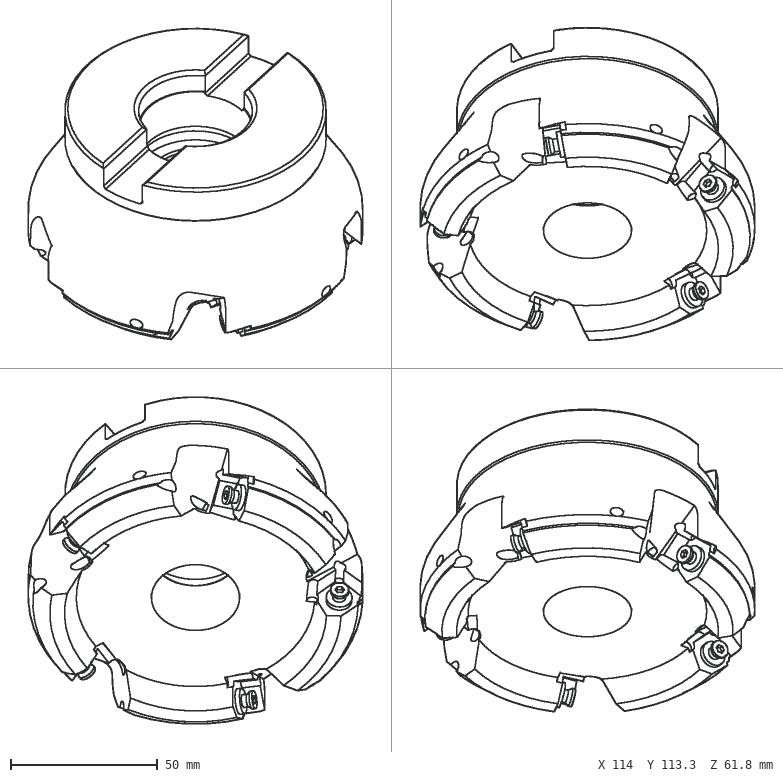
import cadquery as cq
import math

TOOTH_COUNT = 5
FIRST_TOOTH_ANGLE = 36.0
TOOTH_PITCH = 360.0 / TOOTH_COUNT

HEIGHT = 61.75
BODY_RADIUS = 57.0
HUB_RADIUS = 44.5
HUB_CHAMFER = 1.0
HUB_BOTTOM_Z = 48.3
HUB_EDGE_RELIEF = 0.6

CONE_ANGLE = math.radians(30)
BLEND_RADIUS = 10.0
CYLINDER_TOP_Z = 17.7
NECK_RADIUS = 43.8

CYLINDER_BOTTOM_Z = 8.7
RIM_STEP_RADIUS = 55.7
RIM_STEP_Z = 7.1
RIM_GROOVE_DEPTH = 0.3
RIM_GROOVE_TOP_Z = 6.4
RIM_CHAMFER_TOP_Z = 5.4
RIM_CHAMFER_RADIUS = 55.4
RIM_RADIUS = 49.6

HOLLOW_MOUTH_RADIUS = 44.6
HOLLOW_TOP_RADIUS = 40.6
HOLLOW_DEPTH = 8.0

BORE_RADIUS = 19.05
BORE_RELIEF_RADIUS = 19.35
BORE_RELIEF_DEPTH = 8.0
BORE_MOUTH_RADIUS = 20.9
BORE_CHAMFER_DEPTH = 1.2
BORE_DEPTH = 23.1
UNDERCUT_RADIUS = 20.25
UNDERCUT_TAPER_HEIGHT = 3.0
LEDGE_DEPTH = 30.0
THROUGH_RADIUS = 15.0
THROUGH_CHAMFER = 0.8

SLOT_WIDTH = 16.0
SLOT_DEPTH = 9.5
SLOT_TOP_CHAMFER = 1.1
SLOT_FLOOR_CHAMFER = 0.9

ROOT_LOW = cq.Vector(38.1, -15.5, 7.0)
ROOT_CREASE = cq.Vector(42.7, -18.4, 12.2)
ROOT_HIGH = cq.Vector(49.8, -24.6, 21.6)
OUTER_LOW = cq.Vector(43.2, -24.2, 0.0)
OUTER_HIGH = cq.Vector(50.3, -26.8, 8.8)
GULLET_FILLET = 4.8
GULLET_BEND = math.radians(76)
GULLET_REACH = 45.0
GULLET_DROP = 20.0
TOOTH_WALL_Y = -9.2

INSERT_SIDE = 12.7
INSERT_RADIUS = 48.8
INSERT_Z = 7.0
SEAT_Y = -2.0
AXIAL_RAKE = 7.0
POCKET_HEIGHT = 14.0
POCKET_RISE = 0.8
CORNER_RELIEF_RADIUS = 2.0
CORNER_RELIEF_DEPTH = 2.0

SCREW_SHANK_RADIUS = 2.2
SCREW_SHANK_LENGTH = 10.0
SCREW_COLLAR_RADIUS = 4.4
SCREW_COLLAR_HEIGHT = 1.6
SCREW_HEAD_RADIUS = 3.1
SCREW_HEAD_BOTTOM = 3.3
SCREW_HEAD_EDGE = 4.6
SCREW_HEAD_TOP = 5.6
SCREW_SOCKET_WIDTH = 3.0
SCREW_SOCKET_DEPTH = 1.5

COOLANT_RADIUS = 1.8
COOLANT_ENTRY = cq.Vector(43.4, -36.9, 10.4)
COOLANT_DIRECTION = cq.Vector(-0.22, 0.975, 0)
COOLANT_LENGTH = 27.0
COOLANT_LEAD = 5.0
RIM_HOLE_RADIUS = 1.9
RIM_HOLE_START = cq.Vector(47.4, -20.0, 5.0)
RIM_HOLE_DIRECTION = cq.Vector(0, -1, 0)
RIM_HOLE_LENGTH = 20.0

TOOTH_ANGLES = [FIRST_TOOTH_ANGLE + TOOTH_PITCH * i for i in range(TOOTH_COUNT)]


def turn(shape, angle):
    return shape.rotate((0, 0, 0), (0, 0, 1), angle)


def make_blank():
    """Turned outer shape, solid down the middle."""
    drop = BLEND_RADIUS * math.sin(CONE_ANGLE)
    set_back = BLEND_RADIUS * (1 - math.cos(CONE_ANGLE))
    half_drop = BLEND_RADIUS * math.sin(CONE_ANGLE / 2)
    half_set_back = BLEND_RADIUS * (1 - math.cos(CONE_ANGLE / 2))
    cone_low = (BODY_RADIUS - set_back, CYLINDER_TOP_Z + drop)
    cone_high_radius = NECK_RADIUS + set_back
    cone_high_z = cone_low[1] + (cone_low[0] - cone_high_radius) / math.tan(CONE_ANGLE)
    neck_z = cone_high_z + drop
    neck_end_z = HUB_BOTTOM_Z - HUB_EDGE_RELIEF
    neck_rise = neck_end_z - neck_z
    neck_end_radius = NECK_RADIUS + BLEND_RADIUS - math.sqrt(BLEND_RADIUS**2 - neck_rise**2)
    groove_radius = RIM_CHAMFER_RADIUS - RIM_GROOVE_DEPTH
    return (
        cq.Workplane("XZ")
        .moveTo(0, 0)
        .lineTo(RIM_RADIUS, 0)
        .lineTo(RIM_CHAMFER_RADIUS, RIM_CHAMFER_TOP_Z)
        .lineTo(groove_radius, RIM_GROOVE_TOP_Z)
        .lineTo(RIM_STEP_RADIUS, RIM_STEP_Z)
        .lineTo(BODY_RADIUS, CYLINDER_BOTTOM_Z)
        .lineTo(BODY_RADIUS, CYLINDER_TOP_Z)
        .threePointArc((BODY_RADIUS - half_set_back, CYLINDER_TOP_Z + half_drop), cone_low)
        .lineTo(cone_high_radius, cone_high_z)
        .threePointArc((NECK_RADIUS + half_set_back, neck_z - half_drop), (NECK_RADIUS, neck_z))
        .radiusArc((neck_end_radius, neck_end_z), BLEND_RADIUS)
        .lineTo(HUB_RADIUS, HUB_BOTTOM_Z)
        .lineTo(HUB_RADIUS, HEIGHT - HUB_CHAMFER)
        .lineTo(HUB_RADIUS - HUB_CHAMFER, HEIGHT)
        .lineTo(0, HEIGHT)
        .close()
        .revolve(360, (0, 0, 0), (0, 1, 0))
    )


def make_bore():
    """Arbor bore with a relieved mouth, an undercut above a ledge, and the hollow in the bottom face."""
    ledge_z = HEIGHT - LEDGE_DEPTH
    undercut_z = HEIGHT - BORE_DEPTH
    relief_z = HEIGHT - BORE_RELIEF_DEPTH
    return (
        cq.Workplane("XZ")
        .moveTo(0, 0)
        .lineTo(HOLLOW_MOUTH_RADIUS, 0)
        .lineTo(HOLLOW_TOP_RADIUS, HOLLOW_DEPTH)
        .lineTo(THROUGH_RADIUS, HOLLOW_DEPTH)
        .lineTo(THROUGH_RADIUS, ledge_z - THROUGH_CHAMFER)
        .lineTo(THROUGH_RADIUS + THROUGH_CHAMFER, ledge_z)
        .lineTo(UNDERCUT_RADIUS, ledge_z)
        .lineTo(UNDERCUT_RADIUS, undercut_z - UNDERCUT_TAPER_HEIGHT)
        .lineTo(BORE_RADIUS, undercut_z)
        .lineTo(BORE_RADIUS, relief_z)
        .lineTo(BORE_RELIEF_RADIUS, relief_z)
        .lineTo(BORE_RELIEF_RADIUS, HEIGHT - BORE_CHAMFER_DEPTH)
        .lineTo(BORE_MOUTH_RADIUS, HEIGHT)
        .lineTo(0, HEIGHT)
        .close()
        .revolve(360, (0, 0, 0), (0, 1, 0))
    )


def make_drive_slot():
    """Slot along Y with chamfered mouth and floor corners."""
    half = SLOT_WIDTH / 2
    floor_z = HEIGHT - SLOT_DEPTH
    right_side = [
        (half - SLOT_FLOOR_CHAMFER, floor_z),
        (half, floor_z + SLOT_FLOOR_CHAMFER),
        (half, HEIGHT - SLOT_TOP_CHAMFER),
        (half + SLOT_TOP_CHAMFER, HEIGHT),
    ]
    left_side = [(-x, z) for x, z in reversed(right_side)]
    return cq.Workplane("XZ").polyline(right_side + left_side).close().extrude(BODY_RADIUS, both=True)


def make_trough(root_low, root_high, outer_point):
    """Long trough on one floor flat: floor, rounded root and leaning ceiling."""
    along_root = root_high - root_low
    floor_normal = along_root.cross(outer_point - root_low)
    across_floor = floor_normal.cross(along_root)
    section = cq.Plane(origin=root_low, xDir=across_floor, normal=along_root)
    fillet_start = (0, 0)
    fillet_middle = (
        -GULLET_FILLET * math.sin(GULLET_BEND / 2),
        GULLET_FILLET * (1 - math.cos(GULLET_BEND / 2)),
    )
    fillet_end = (
        -GULLET_FILLET * math.sin(GULLET_BEND),
        GULLET_FILLET * (1 - math.cos(GULLET_BEND)),
    )
    ceiling_end = (
        fillet_end[0] - GULLET_REACH * math.cos(GULLET_BEND),
        fillet_end[1] + GULLET_REACH * math.sin(GULLET_BEND),
    )
    return (
        cq.Workplane(section)
        .workplane(offset=-GULLET_DROP)
        .moveTo(*fillet_start)
        .threePointArc(fillet_middle, fillet_end)
        .lineTo(*ceiling_end)
        .lineTo(GULLET_REACH, ceiling_end[1])
        .lineTo(GULLET_REACH, 0)
        .close()
        .extrude(GULLET_DROP + GULLET_REACH)
    )


def make_gullet():
    """Creased trough that ends at the flat tooth wall."""
    lower = make_trough(ROOT_LOW, ROOT_CREASE, OUTER_LOW)
    upper = make_trough(ROOT_CREASE, ROOT_HIGH, OUTER_HIGH)
    span = 4 * GULLET_REACH
    ahead_of_wall = cq.Workplane("XY").box(span, span, span).translate((0, TOOTH_WALL_Y - span / 2, 0))
    return lower.union(upper).intersect(ahead_of_wall)


def seat_plane():
    """Plane of the insert seat: normal leads the tooth, tipped down by the axial rake."""
    rake = math.radians(AXIAL_RAKE)
    return cq.Plane(
        origin=(INSERT_RADIUS, SEAT_Y, INSERT_Z),
        xDir=(1, 0, 0),
        normal=(0, -math.cos(rake), -math.sin(rake)),
    )


def make_insert_pocket():
    """Square pocket open towards the hollow, with corner reliefs and the screw hole."""
    half_diagonal = INSERT_SIDE / math.sqrt(2)
    low_edge = POCKET_RISE - half_diagonal
    corners = [
        (-half_diagonal, POCKET_RISE),
        (0, POCKET_RISE + half_diagonal),
        (half_diagonal, POCKET_RISE),
    ]
    open_side = [(0, low_edge), (-half_diagonal, low_edge)]
    pocket = (
        cq.Workplane(seat_plane())
        .polyline(corners + open_side)
        .close()
        .extrude(POCKET_HEIGHT)
    )
    reliefs = (
        cq.Workplane(seat_plane())
        .workplane(offset=-CORNER_RELIEF_DEPTH)
        .pushPoints(corners)
        .circle(CORNER_RELIEF_RADIUS)
        .extrude(POCKET_HEIGHT)
    )
    screw_hole = cq.Workplane(seat_plane()).circle(SCREW_SHANK_RADIUS).extrude(-SCREW_SHANK_LENGTH)
    return pocket.union(reliefs).union(screw_hole)


def make_side_holes():
    """Coolant hole into the gullet and a hole grazing the rim chamfer."""
    direction = COOLANT_DIRECTION.normalized()
    start = COOLANT_ENTRY - direction * COOLANT_LEAD
    coolant = cq.Solid.makeCylinder(COOLANT_RADIUS, COOLANT_LENGTH + COOLANT_LEAD, start, direction)
    rim_hole = cq.Solid.makeCylinder(RIM_HOLE_RADIUS, RIM_HOLE_LENGTH, RIM_HOLE_START, RIM_HOLE_DIRECTION)
    return [cq.Workplane(coolant), cq.Workplane(rim_hole)]


def make_body():
    body = make_blank().cut(make_bore()).cut(make_drive_slot())
    tooth_cuts = [make_gullet(), make_insert_pocket(), *make_side_holes()]
    for angle in TOOTH_ANGLES:
        for cutter in tooth_cuts:
            body = body.cut(turn(cutter, angle))
    return body


def make_screw():
    """Turned screw with a seat collar and a countersunk head with a hex socket."""
    screw = (
        cq.Workplane("XZ")
        .moveTo(0, -SCREW_SHANK_LENGTH)
        .lineTo(SCREW_SHANK_RADIUS, -SCREW_SHANK_LENGTH)
        .lineTo(SCREW_SHANK_RADIUS, 0)
        .lineTo(SCREW_COLLAR_RADIUS, 0)
        .lineTo(SCREW_COLLAR_RADIUS, SCREW_COLLAR_HEIGHT)
        .lineTo(SCREW_SHANK_RADIUS, SCREW_COLLAR_HEIGHT)
        .lineTo(SCREW_SHANK_RADIUS, SCREW_HEAD_BOTTOM)
        .lineTo(SCREW_HEAD_RADIUS, SCREW_HEAD_EDGE)
        .lineTo(SCREW_HEAD_RADIUS, SCREW_HEAD_TOP)
        .lineTo(0, SCREW_HEAD_TOP)
        .close()
        .revolve(360, (0, 0, 0), (0, 1, 0))
        .faces(">Z")
        .workplane()
        .polygon(6, SCREW_SOCKET_WIDTH)
        .cutBlind(-SCREW_SOCKET_DEPTH)
    )
    return cq.Workplane(screw.val().moved(cq.Location(seat_plane())))


body = make_body().solids()
screw = make_screw()
screws = [turn(screw, angle) for angle in TOOTH_ANGLES]

result = cq.Compound.makeCompound([body.val(), *[item.val() for item in screws]])